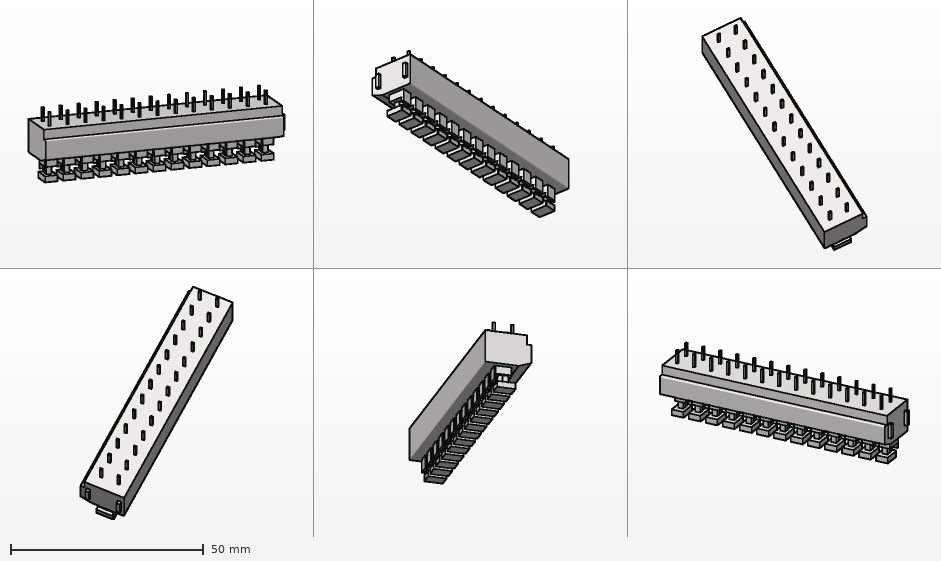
import cadquery as cq

BODY_WIDTH = 12.6
BODY_LENGTH = 66.1
BODY_HEIGHT = 9.0
STEP_WIDTH = 1.2
STEP_DROP = 2.6
SLOPE_WIDTH = 3.5
SLOPE_RISE = 1.2
EDGE_RADIUS = 0.35

POLE_COUNT = 13
POLE_SPAN = 60.0
POLE_PITCH = POLE_SPAN / (POLE_COUNT - 1)
FIRST_POLE_Y = 2.75

PIN_THICKNESS_X = 0.7
PIN_THICKNESS_Y = 0.5
PIN_HEIGHT = 3.6
FIRST_PIN_X = 3.15
PIN_SPACING = POLE_PITCH

OVERALL_LENGTH = 67
TAB_WIDTH = 1.0
TAB_HEIGHT = 4.0
TAB_STARTS_X = (0.8, 9.7)

GUIDE_START_X = 3.0
GUIDE_WIDTH = 4.8
GUIDE_LENGTH = 3.35
GUIDE_DEPTH = 2.2
GUIDE_OFFSET_Y = 0.6
GUIDE_CORNER = 0.3
LEG_WIDTH = 0.75
LEG_DEPTH = 3.6

PAD_START_X = 3.6
PAD_WIDTH = 5.0
PAD_LENGTH = 3.5
PAD_THICKNESS = 1.7
PAD_CORNER = 0.3
BUTTON_OFFSET_Y = 0.35
BUTTON_DEPTH = 6.1
STEM_START_X = 5.4
STEM_END_X = 7.0
STEM_LENGTH = 1.5
RAMP_TOP_X = 4.3
RAMP_FOOT_X = 3.75
RAMP_LENGTH = 1.2


def box(x, y, z, width, length, height):
    """A box whose lowest corner is (x, y, z)."""
    return cq.Workplane("XY").box(width, length, height, centered=False).translate((x, y, z))


def make_body():
    profile = [
        (0, 0),
        (BODY_WIDTH - SLOPE_WIDTH, 0),
        (BODY_WIDTH, SLOPE_RISE),
        (BODY_WIDTH, BODY_HEIGHT - STEP_DROP),
        (BODY_WIDTH - STEP_WIDTH, BODY_HEIGHT - STEP_DROP),
        (BODY_WIDTH - STEP_WIDTH, BODY_HEIGHT),
        (0, BODY_HEIGHT),
    ]
    prism = cq.Workplane("XZ").polyline(profile).close().extrude(-BODY_LENGTH)
    rounded = prism.edges("|Y").edges(">X").fillet(EDGE_RADIUS)
    return rounded.edges("|Y and <X and <Z").fillet(EDGE_RADIUS)


def make_tabs():
    base_z = BODY_HEIGHT - STEP_DROP - TAB_HEIGHT
    length = OVERALL_LENGTH - BODY_LENGTH
    first, second = (
        box(x, BODY_LENGTH, base_z, TAB_WIDTH, length, TAB_HEIGHT) for x in TAB_STARTS_X
    )
    return first.union(second)


def make_pin(x, pole_y):
    start_x = x - PIN_THICKNESS_X / 2
    start_y = pole_y - PIN_THICKNESS_Y / 2
    return box(start_x, start_y, BODY_HEIGHT, PIN_THICKNESS_X, PIN_THICKNESS_Y, PIN_HEIGHT)


def make_guide(pole_y):
    start_y = pole_y + GUIDE_OFFSET_Y - GUIDE_LENGTH / 2
    block = box(GUIDE_START_X, start_y, -GUIDE_DEPTH, GUIDE_WIDTH, GUIDE_LENGTH, GUIDE_DEPTH)
    leg = box(GUIDE_START_X, start_y, -LEG_DEPTH, LEG_WIDTH, GUIDE_LENGTH, LEG_DEPTH)
    return block.union(leg).edges("|Z and <Y").edges("<X or >X").chamfer(GUIDE_CORNER)


def make_button(pole_y):
    center_y = pole_y + BUTTON_OFFSET_Y
    start_y = center_y - PAD_LENGTH / 2
    pad = box(PAD_START_X, start_y, -BUTTON_DEPTH, PAD_WIDTH, PAD_LENGTH, PAD_THICKNESS)
    pad = pad.edges("|Z and <X and >Y").chamfer(PAD_CORNER)
    pad_top = PAD_THICKNESS - BUTTON_DEPTH
    stem_width = STEM_END_X - STEM_START_X
    stem_height = -GUIDE_DEPTH - pad_top
    stem = box(STEM_START_X, center_y - STEM_LENGTH / 2, pad_top, stem_width, STEM_LENGTH, stem_height)
    ramp_profile = [
        (RAMP_FOOT_X, pad_top),
        (STEM_START_X, pad_top),
        (STEM_START_X, -GUIDE_DEPTH),
        (RAMP_TOP_X, -GUIDE_DEPTH),
    ]
    ramp_plane = cq.Workplane("XZ", origin=(0, center_y, 0))
    ramp = ramp_plane.polyline(ramp_profile).close().extrude(RAMP_LENGTH / 2, both=True)
    return pad.union(stem).union(ramp)


result = make_body().union(make_tabs())
for pole in range(POLE_COUNT):
    pole_y = FIRST_POLE_Y + pole * POLE_PITCH
    for pin_x in (FIRST_PIN_X, FIRST_PIN_X + PIN_SPACING):
        result = result.union(make_pin(pin_x, pole_y))
    result = result.union(make_guide(pole_y)).union(make_button(pole_y))